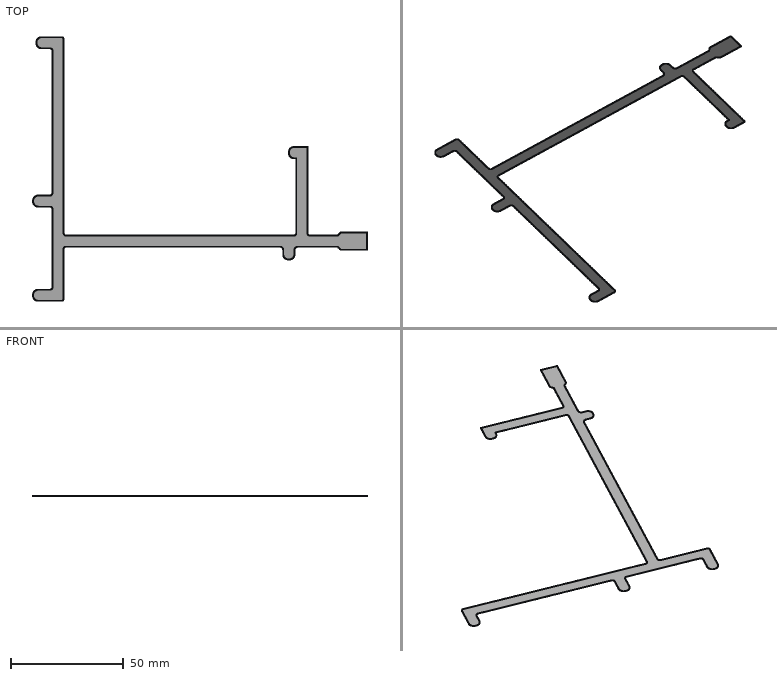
import cadquery as cq

total_length = 148.5
total_height = 117.3
thickness = 0.1
wall = 5.0

upright_left = 8.6
upright_right = upright_left + wall
top_hook_tip = 1.5
middle_hook_bottom = 41.9
hook_round = 2.4
upright_corner_round = 1.0

web_bottom = 24.0
web_middle = web_bottom + wall / 2
tab_start = 135.4
tab_width = 7.7
tab_taper = 1.3

post_left = 117.0
post_top = 68.5
post_hook_tip = 113.7
post_hook_round = 2.2

nub_middle = 113.7
nub_bottom = 18.4
nub_round = 2.2

inner_round = 1.0
nub_root_round = 1.5
pick_margin = 0.1


def bar(left, right, bottom, top):
    """Flat rectangular bar standing on Z = 0."""
    return cq.Workplane("XY").box(right - left, top - bottom, thickness, centered=False).translate(
        (left, bottom, 0)
    )


def round_corners(body, points, radius):
    """Round the vertical edges at the given XY points."""
    for x, y in points:
        corner = cq.selectors.BoxSelector(
            (x - pick_margin, y - pick_margin, -thickness),
            (x + pick_margin, y + pick_margin, 2 * thickness),
        )
        body = body.edges("|Z").edges(corner).fillet(radius)
    return body


def hook(tip, bottom, root, radius):
    """Bar pointing to -X with a rounded tip."""
    return bar(tip, root, bottom, bottom + wall).edges("|Z and <X").fillet(radius)


def tab():
    """Wide end of the web, tapered where it meets the web."""
    low = web_middle - tab_width / 2
    high = web_middle + tab_width / 2
    web_top = web_bottom + wall
    outline = [
        (tab_start, web_bottom),
        (tab_start + tab_taper, low),
        (total_length, low),
        (total_length, high),
        (tab_start + tab_taper, high),
        (tab_start, web_top),
    ]
    return cq.Workplane("XY").polyline(outline).close().extrude(thickness)


upright = bar(upright_left, upright_right, 0, total_height)
web = bar(upright_left, total_length, web_bottom, web_bottom + wall)
post = bar(post_left, post_left + wall, web_bottom, post_top)
nub = bar(nub_middle - wall / 2, nub_middle + wall / 2, nub_bottom, web_middle)
nub = nub.edges("|Z and <Y").fillet(nub_round)

top_hook_bottom = total_height - wall
bottom_hook = hook(0, 0, upright_right, hook_round)
middle_hook = hook(0, middle_hook_bottom, upright_right, hook_round)
top_hook = hook(top_hook_tip, top_hook_bottom, upright_right, hook_round)
post_hook = hook(post_hook_tip, post_top - wall, post_left + wall, post_hook_round)

body = upright
for piece in (web, post, nub, bottom_hook, middle_hook, top_hook, post_hook, tab()):
    body = body.union(piece)
body = body.clean()

upright_corners = [(upright_right, 0), (upright_right, total_height)]
inner_corners = [
    (upright_left, wall),
    (upright_left, middle_hook_bottom),
    (upright_left, middle_hook_bottom + wall),
    (upright_left, top_hook_bottom),
    (upright_right, web_bottom),
    (upright_right, web_bottom + wall),
    (post_left, web_bottom + wall),
    (post_left + wall, web_bottom + wall),
]
nub_roots = [(nub_middle - wall / 2, web_bottom), (nub_middle + wall / 2, web_bottom)]

body = round_corners(body, upright_corners, upright_corner_round)
body = round_corners(body, inner_corners, inner_round)
result = round_corners(body, nub_roots, nub_root_round)